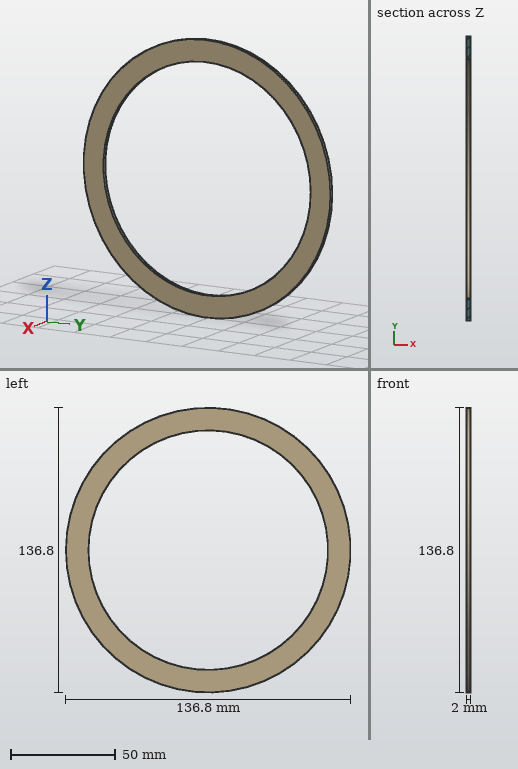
import cadquery as cq

outer_diameter = 136.8
inner_diameter = 114.9
thickness = 2.0

result = (
    cq.Workplane("YZ")
    .circle(outer_diameter / 2)
    .circle(inner_diameter / 2)
    .extrude(thickness)
)